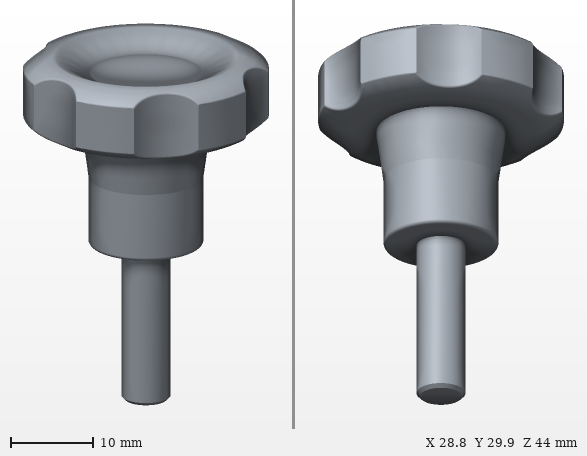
import cadquery as cq
import math

total_height = 44.0
head_height = 8.95
hub_bottom = 20.0
neck_bottom = 28.6
head_bottom = total_height - head_height

pin_radius = 6.0 / 2
pin_chamfer = 0.45
hub_radius = 14.0 / 2
hub_edge_radius = 0.45
neck_top_radius = 7.9

head_radius = 14.95
head_flat_radius = 11.4
crown_radius = 5.0
head_edge_radius = 0.25

dish_rim_radius = 11.15
dish_floor_radius = 6.8
dish_depth = 2.05
dish_edge_radius = 1.0

scallop_count = 6
scallop_radius = 6.5
scallop_floor_radius = 13.05


def arc_middle(start, end, radius):
    """Return the middle of the minor arc that bulges to the left of start-to-end."""
    run = end[0] - start[0]
    rise = end[1] - start[1]
    chord = math.hypot(run, rise)
    bulge = radius - math.sqrt(radius**2 - (chord / 2) ** 2)
    middle_x = (start[0] + end[0]) / 2 - bulge * rise / chord
    middle_z = (start[1] + end[1]) / 2 + bulge * run / chord
    return (middle_x, middle_z)


def make_head():
    """Turned disc with arc-shaped shoulders, cut by the finger scallops."""
    crown_width = head_radius - head_flat_radius
    crown_drop = crown_radius - math.sqrt(crown_radius**2 - crown_width**2)
    lower_flat = (head_flat_radius, head_bottom)
    lower_rim = (head_radius, head_bottom + crown_drop)
    upper_rim = (head_radius, total_height - crown_drop)
    upper_flat = (head_flat_radius, total_height)
    head = (
        cq.Workplane("XZ")
        .moveTo(0, head_bottom)
        .lineTo(*lower_flat)
        .threePointArc(arc_middle(lower_rim, lower_flat, crown_radius), lower_rim)
        .lineTo(*upper_rim)
        .threePointArc(arc_middle(upper_flat, upper_rim, crown_radius), upper_flat)
        .lineTo(0, total_height)
        .close()
        .revolve(360, (0, 0, 0), (0, 1, 0))
    )
    scallops = (
        cq.Workplane("XY", origin=(0, 0, head_bottom))
        .polarArray(scallop_floor_radius + scallop_radius, 0, 360, scallop_count)
        .circle(scallop_radius)
        .extrude(head_height)
    )
    head = head.cut(scallops)
    return head.edges("not(|Z or <Z or >Z)").fillet(head_edge_radius)


def make_dish():
    """Cutter for the shallow dish, a cone down to a flat floor."""
    floor_z = total_height - dish_depth
    return (
        cq.Workplane("XZ")
        .moveTo(0, floor_z)
        .lineTo(dish_floor_radius, floor_z)
        .lineTo(dish_rim_radius, total_height)
        .lineTo(0, total_height)
        .close()
        .revolve(360, (0, 0, 0), (0, 1, 0))
    )


def make_hub():
    """Cylindrical hub with a rounded lower edge and a conical neck up to the head."""
    return (
        cq.Workplane("XZ")
        .moveTo(0, hub_bottom)
        .lineTo(hub_radius, hub_bottom)
        .lineTo(hub_radius, neck_bottom)
        .lineTo(neck_top_radius, head_bottom)
        .lineTo(0, head_bottom)
        .close()
        .revolve(360, (0, 0, 0), (0, 1, 0))
        .faces("<Z")
        .edges()
        .fillet(hub_edge_radius)
    )


def make_pin():
    """Plain pin with a chamfered tip."""
    return cq.Workplane("XY").circle(pin_radius).extrude(hub_bottom).faces("<Z").chamfer(pin_chamfer)


head = make_head().cut(make_dish())
lip_box = cq.selectors.BoxSelector(
    (-head_flat_radius, -head_flat_radius, total_height - head_edge_radius),
    (head_flat_radius, head_flat_radius, total_height + head_edge_radius),
    boundingbox=True,
)
head = head.edges(lip_box).edges(cq.selectors.RadiusNthSelector(0)).fillet(dish_edge_radius)

result = head.union(make_hub()).union(make_pin())